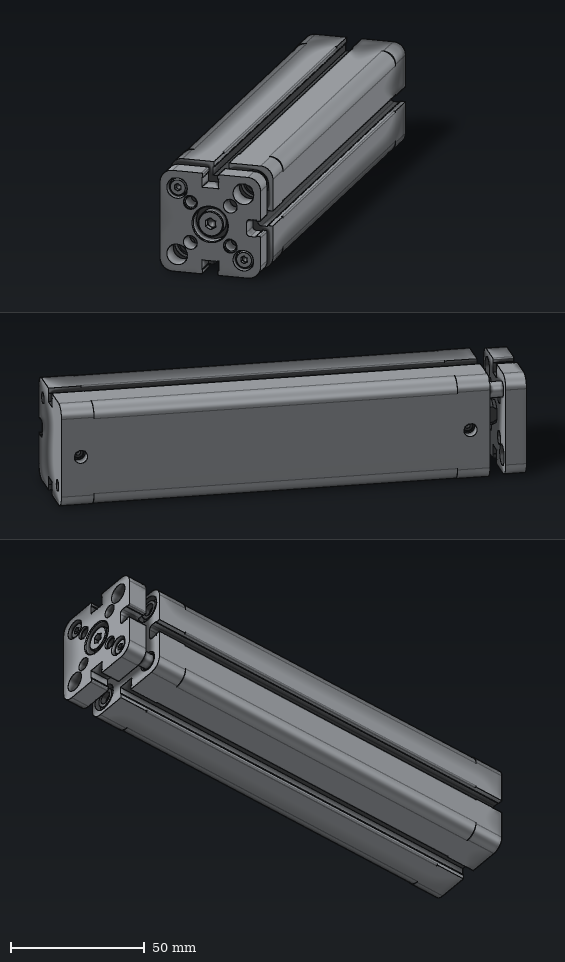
import cadquery as cq
import math


total_length = 178.0
plate_thickness = 8.0
plate_gap = 6.0
cap_length = 12.5
plate_front = -total_length / 2
plate_back = plate_front + plate_thickness
body_front = plate_back + plate_gap
body_back = total_length / 2
profile_length = body_back - body_front - 2 * cap_length

body_width = 40.2
cap_corner_radius = 4.8
profile_corner_radius = 5.3
plate_width = 39.5
plate_corner_radius = 5.0

slot_neck_width = 5.9
slot_width = 6.5
slot_shoulder = 18.0
slot_floor = 14.8
side_slot_floor = 14.2
slot_corner_radius = 1.5
slot_lip_radius = 0.5
plate_slot_floor = 14.2

corner_offset = 13.0
pin_offset = 7.8
rod_corners = [(-1, 1), (1, -1)]
screw_corners = [(1, 1), (-1, -1)]

cap_recess_depth = 2.7
fitting_sink = 0.5
sleeve_recess_diameter = 8.0
sleeve_diameter = 7.0
screw_recess_diameter = 10.9
screw_head_diameter = 7.7
screw_socket_diameter = 5.0
screw_socket_depth = 2.1
through_diameter = 4.3

guide_diameter = 6.0
plate_hole_diameter = 8.0
guide_screw_diameter = 7.0
guide_screw_sink = 0.9
guide_screw_chamfer = 0.5
guide_collar_thickness = 2.7
guide_socket_flats = 2.5
guide_socket_depth = 1.8

piston_diameter = 10.0
piston_flats = 8.0
piston_flat_length = 4.0
piston_flat_corner_radius = 1.2
piston_chamfer_length = 1.5
piston_chamfer_depth = 0.5
center_recess_diameter = 13.5
center_chamfer = 0.4
center_recess_depth = 4.5
center_screw_diameter = 10.0
center_screw_sink = 0.5
center_socket_flats = 4.0
center_socket_depth = 2.5

drill_point_angle = 120.0

pin_hole_diameter = 5.3
thread_core_diameter = 4.3
thread_entry_depth = 0.9

port_diameter = 5.0
port_depth = 4.5
port_step_diameter = 4.0
port_step_depth = 5.3
port_bore_diameter = 2.0
port_bore_depth = 8.0
port_distance = 7.5


def rod(diameter, y_start, y_end, x=0.0, z=0.0):
    """Cylinder parallel to Y."""
    start = cq.Vector(x, y_start, z)
    solid = cq.Solid.makeCylinder(diameter / 2, y_end - y_start, start, cq.Vector(0, 1, 0))
    return cq.Workplane(obj=solid)


def cone(radius_start, radius_end, y_start, length, x=0.0, z=0.0):
    """Cone parallel to Y."""
    start = cq.Vector(x, y_start, z)
    solid = cq.Solid.makeCone(radius_start, radius_end, length, start, cq.Vector(0, 1, 0))
    return cq.Workplane(obj=solid)


def block(width, height, y_start, y_end, x=0.0, z=0.0):
    """Box centred on x and z, between two places along Y."""
    return cq.Workplane("XY").box(width, y_end - y_start, height).translate((x, (y_start + y_end) / 2, z))


def square_bar(width, corner_radius, y_start, y_end):
    return block(width, width, y_start, y_end).edges("|Y").fillet(corner_radius)


def hex_socket(flats, y_start, depth, x=0.0, z=0.0):
    """Hexagonal cutter with two corners on the Z direction and a conical drill point."""
    across_corners = flats / math.cos(math.radians(30))
    cutter = cq.Workplane("XZ").polygon(6, across_corners).extrude(-depth)
    cutter = cutter.rotate((0, 0, 0), (0, 1, 0), 30).translate((x, y_start, z))
    tip_length = flats / 2 / math.tan(math.radians(drill_point_angle / 2))
    return cutter.union(cone(flats / 2, 0, y_start + depth, tip_length, x, z))


def slot_cutter(width, floor, y_start, y_end):
    """Undercut slot open towards +Z of a bar of this width, with a narrow neck at the surface."""
    surface = width / 2
    channel = block(slot_width, slot_shoulder - floor, y_start, y_end, z=(slot_shoulder + floor) / 2)
    neck_height = surface - slot_shoulder
    neck = block(slot_neck_width, neck_height, y_start, y_end, z=slot_shoulder + neck_height / 2)
    return channel.union(neck)


def lip_cutter(width, y_start, y_end):
    """Flared mouth that rounds the lips of a slot open towards +Z."""
    surface = width / 2
    half_neck = slot_neck_width / 2
    half_mouth = half_neck + slot_lip_radius
    lip_bottom = surface - slot_lip_radius
    bulge = slot_lip_radius * math.sqrt(0.5)
    mid_x = half_mouth - bulge
    mid_z = lip_bottom + bulge
    outline = (
        cq.Workplane("XZ", origin=(0, y_start, 0))
        .moveTo(half_neck, lip_bottom)
        .threePointArc((mid_x, mid_z), (half_mouth, surface))
        .lineTo(-half_mouth, surface)
        .threePointArc((-mid_x, mid_z), (-half_neck, lip_bottom))
        .close()
    )
    return outline.extrude(y_start - y_end)


def turned(shape, angle):
    """Turn a shape about the cylinder axis."""
    return shape.rotate((0, 0, 0), (0, 1, 0), angle)


def make_body():
    """Profile with both caps, cut by the three sensor slots."""
    profile_front = body_front + cap_length
    profile_back = profile_front + profile_length
    body = square_bar(body_width, profile_corner_radius, profile_front, profile_back)
    body = body.union(square_bar(body_width, cap_corner_radius, body_front, profile_front))
    body = body.union(square_bar(body_width, cap_corner_radius, profile_back, body_back))
    straight_slot = slot_cutter(body_width, slot_floor, body_front, body_back)
    round_slot = slot_cutter(body_width, side_slot_floor, body_front, body_back)
    round_slot = round_slot.edges("|Y and <Z").fillet(slot_corner_radius)
    lip = lip_cutter(body_width, profile_front, profile_back)
    for angle, slot in [(0, straight_slot), (90, round_slot), (180, straight_slot)]:
        body = body.cut(turned(slot, angle)).cut(turned(lip, angle))
    return body


def add_corner_fittings(body):
    """Recessed sleeves around the guide rods and hollow body screws in the other corners."""
    recess_floor = body_front + cap_recess_depth
    face = body_front + fitting_sink
    for side_x, side_z in rod_corners:
        place = (side_x * corner_offset, side_z * corner_offset)
        body = body.cut(rod(sleeve_recess_diameter, body_front, recess_floor, *place))
        body = body.union(rod(sleeve_diameter, face, recess_floor, *place))
    for side_x, side_z in screw_corners:
        place = (side_x * corner_offset, side_z * corner_offset)
        body = body.cut(rod(screw_recess_diameter, body_front, recess_floor, *place))
        body = body.union(rod(screw_head_diameter, face, recess_floor, *place))
        body = body.cut(rod(screw_socket_diameter, face, face + screw_socket_depth, *place))
        body = body.cut(rod(through_diameter, body_front, body_back, *place))
    return body


def cut_ports(body):
    """Stepped air ports, one in each cap."""
    steps = [
        (port_diameter, port_depth),
        (port_step_diameter, port_step_depth),
        (port_bore_diameter, port_bore_depth),
    ]
    for y in [body_front + port_distance, body_back - port_distance]:
        for diameter, depth in steps:
            start = cq.Vector(-body_width / 2, y, 0)
            bore = cq.Solid.makeCylinder(diameter / 2, depth, start, cq.Vector(1, 0, 0))
            body = body.cut(cq.Workplane(obj=bore))
    return body


def make_plate():
    """Yoke plate with three slots and its hole pattern."""
    plate = square_bar(plate_width, plate_corner_radius, plate_front, plate_back)
    slot = slot_cutter(plate_width, plate_slot_floor, plate_front, plate_back)
    round_slot = slot.edges("|Y and <Z").fillet(slot_corner_radius)
    lip = lip_cutter(plate_width, plate_front, plate_back)
    for angle, cutter in [(0, slot), (90, round_slot), (180, slot)]:
        plate = plate.cut(turned(cutter, angle)).cut(turned(lip, angle))
    for side_x, side_z in rod_corners + screw_corners:
        corner = (side_x * corner_offset, side_z * corner_offset)
        plate = plate.cut(rod(plate_hole_diameter, plate_front, plate_back, *corner))
    for side_x, side_z in screw_corners:
        pin = (side_x * pin_offset, side_z * pin_offset)
        plate = plate.cut(rod(pin_hole_diameter, plate_front, plate_back, *pin))
    for side_x, side_z in rod_corners:
        pin = (side_x * pin_offset, side_z * pin_offset)
        plate = plate.cut(rod(pin_hole_diameter, plate_front, plate_front + thread_entry_depth, *pin))
        plate = plate.cut(rod(thread_core_diameter, plate_front, plate_back, *pin))
    recess_radius = center_recess_diameter / 2
    mouth = cone(recess_radius + center_chamfer, recess_radius, plate_front, center_chamfer)
    recess = rod(center_recess_diameter, plate_front, plate_front + center_recess_depth)
    return plate.cut(mouth).cut(recess)


def make_guide(side_x, side_z):
    """Guide rod with the socket screw that clamps it to the plate."""
    place = (side_x * corner_offset, side_z * corner_offset)
    head_face = plate_front + guide_screw_sink
    guide = rod(guide_diameter, plate_back, body_front + cap_recess_depth, *place)
    screw = rod(guide_screw_diameter, head_face, plate_back, *place)
    guide = guide.union(screw.faces("<Y").chamfer(guide_screw_chamfer))
    collar_front = plate_back - guide_collar_thickness
    guide = guide.union(rod(plate_hole_diameter, collar_front, plate_back, *place))
    return guide.cut(hex_socket(guide_socket_flats, head_face, guide_socket_depth, *place))


def make_piston_rod():
    """Piston rod with two wrench flats, rounded at their inner end."""
    radius = piston_diameter / 2
    tip_radius = radius - piston_chamfer_depth
    piston = rod(piston_diameter, plate_back + piston_chamfer_length, body_front)
    piston = piston.union(cone(tip_radius, radius, plate_back, piston_chamfer_length))
    flat_depth = (piston_diameter - piston_flats) / 2
    flat_height = math.sqrt(piston_diameter**2 - piston_flats**2)
    flat_x = piston_flats / 2 + flat_depth / 2
    flat = block(flat_depth, flat_height, plate_back, plate_back + piston_flat_length, x=flat_x)
    flat = flat.edges("|X and >Y").fillet(piston_flat_corner_radius)
    return piston.cut(flat).cut(flat.mirror("YZ"))


def make_center_screw():
    head_face = plate_front + center_screw_sink
    screw = rod(center_screw_diameter, head_face, plate_front + center_recess_depth)
    screw = screw.faces("<Y").chamfer(center_chamfer)
    return screw.cut(hex_socket(center_socket_flats, head_face, center_socket_depth))


result = cut_ports(add_corner_fittings(make_body()))
result = result.union(make_plate()).union(make_piston_rod()).union(make_center_screw())
for corner in rod_corners:
    result = result.union(make_guide(*corner))